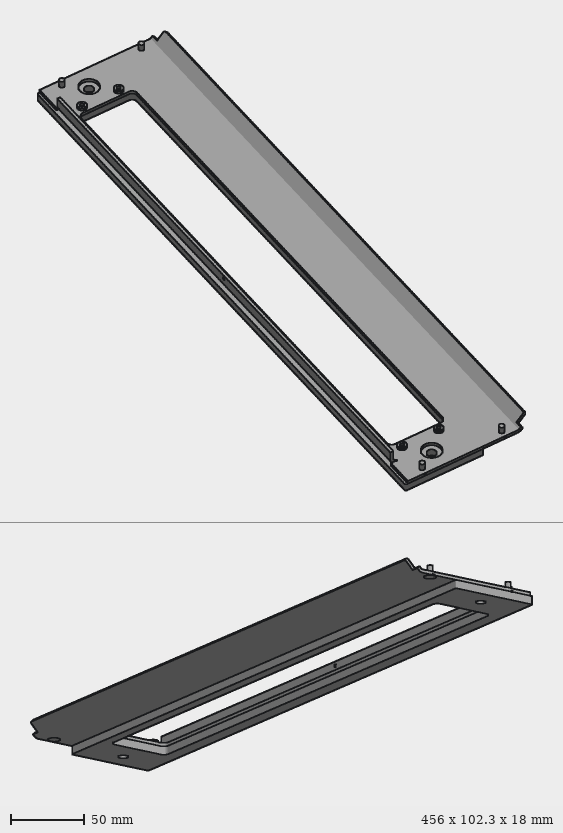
import cadquery as cq
import math

length = 456.0
bar_depth = 64.0
bar_height = 6.0
bar_corner_radius = 1.0

sheet = 2.5
bend_radius = 2.5
sheet_top = bar_height + sheet
bend_outer_radius = bend_radius + sheet
bend_z = sheet_top + bend_radius
bracket_front = 2.0
flange_back = bracket_front + sheet
flange_bend_y = bracket_front + bend_outer_radius
total_depth = 102.29

flange_length = 412.5
flange_top = 18.0
flange_relief = 0.75
flange_hole_diameter = 2.0
flange_hole_drop = 3.0

lip_angle = math.radians(45)
lip_reach = 12.3
lip_inset = 5.5
lip_corner_radius = 1.5
lip_full_width_reach = 3.5

lip_corner_y = total_depth - lip_reach * math.cos(lip_angle)

window_length = 386.0
window_front = 10.5
window_rear = 56.0
window_corner_radius = 4.0

mount_x = length / 2 - 16
mount_y = 32.0
mount_bracket_diameter = 15.0
mount_bar_diameter = 7.0

pin_diameter = 4.0
pin_head_diameter = 8.5
pin_head_height = 1.0
pin_top = 14.0
pin_x = length / 2 - 5
pin_front_y = 17.0
pin_rear_y = 82.0

bush_diameter = 7.0
bush_bore = 3.0
bush_height = 2.0
bush_chamfer = 0.3
bush_x = length / 2 - 30.0
bush_front_y = pin_front_y
bush_rear_y = 47.0

pin_points = [(sx * pin_x, y) for sx in (-1, 1) for y in (pin_front_y, pin_rear_y)]
bush_points = [(sx * bush_x, y) for sx in (-1, 1) for y in (bush_front_y, bush_rear_y)]
mount_points = [(-mount_x, mount_y), (mount_x, mount_y)]


def upright_block(x_size, y_from, y_to, z_from, z_to):
    """Box centred on X between the given Y and Z limits."""
    return cq.Workplane("XY").box(
        x_size, y_to - y_from, z_to - z_from, centered=(True, False, False)
    ).translate((0, y_from, z_from))


def drills(points, diameter):
    """Vertical cylinders that pass through bar and bracket."""
    return cq.Workplane("XY").pushPoints(points).circle(diameter / 2).extrude(flange_top)


def window():
    block = upright_block(window_length, window_front, window_rear, 0, flange_top)
    return block.edges("|Z").fillet(window_corner_radius)


def make_bar():
    bar = upright_block(length, 0, bar_depth, 0, bar_height)
    bar = bar.edges("|Z").fillet(bar_corner_radius)
    return bar.cut(window()).cut(drills(mount_points, mount_bar_diameter))


def bend_point(centre_y, radius, turn):
    """YZ point on a bend arc, turned from straight down towards +Y."""
    return (centre_y + radius * math.sin(turn), bend_z - radius * math.cos(turn))


def bracket_profile():
    """Side outline of the bent sheet in the YZ plane, extruded over the full length."""
    lip_y = lip_corner_y - bend_outer_radius * math.tan(lip_angle / 2)
    lip_tip = (total_depth, bar_height + lip_reach * math.sin(lip_angle))
    lip_tip_inner = (
        lip_tip[0] - sheet * math.sin(lip_angle),
        lip_tip[1] + sheet * math.cos(lip_angle),
    )
    flange_mid_bend = -math.radians(45)
    return (
        cq.Workplane("YZ")
        .moveTo(bracket_front, flange_top)
        .lineTo(bracket_front, bend_z)
        .threePointArc(
            bend_point(flange_bend_y, bend_outer_radius, flange_mid_bend),
            (flange_bend_y, bar_height),
        )
        .lineTo(lip_y, bar_height)
        .threePointArc(
            bend_point(lip_y, bend_outer_radius, lip_angle / 2),
            bend_point(lip_y, bend_outer_radius, lip_angle),
        )
        .lineTo(*lip_tip)
        .lineTo(*lip_tip_inner)
        .lineTo(*bend_point(lip_y, bend_radius, lip_angle))
        .threePointArc(bend_point(lip_y, bend_radius, lip_angle / 2), (lip_y, sheet_top))
        .lineTo(flange_bend_y, sheet_top)
        .threePointArc(
            bend_point(flange_bend_y, bend_radius, flange_mid_bend),
            (flange_back, bend_z),
        )
        .lineTo(flange_back, flange_top)
        .close()
        .extrude(length / 2, both=True)
    )


def make_bracket():
    bracket = bracket_profile()
    for side in (-1, 1):
        bracket = bracket.cut(flange_end_cut(side)).union(flat_end(side))
        bracket = bracket.cut(lip_end_cut(side))
    bracket = bracket.cut(window()).cut(drills(mount_points, mount_bracket_diameter))
    for point in pin_points:
        bracket = bracket.cut(make_pin(point))
    return bracket.cut(flange_hole())


def flange_end_cut(side):
    """Removes the flange and its bend beyond one end of the flange."""
    cut_length = (length - flange_length) / 2
    block = upright_block(cut_length, bracket_front, flange_bend_y, bar_height, flange_top)
    return block.translate((side * (length - cut_length) / 2, 0, 0))


def flat_end(side):
    """Flat front edge beside the flange, parted from it by a narrow relief slit."""
    flat_length = (length - flange_length) / 2 - flange_relief
    block = upright_block(flat_length, bracket_front, flange_bend_y, bar_height, sheet_top)
    return block.translate((side * (length - flat_length) / 2, 0, 0))


def lip_end_cut(side):
    """Notch square to the lip that narrows it, with the lip's free corner rounded."""
    edge_x = side * (length / 2 - lip_inset)
    round_end_x = edge_x - side * lip_corner_radius
    lip_plane = cq.Plane(
        origin=(0, lip_corner_y, bar_height),
        xDir=(1, 0, 0),
        normal=(0, -math.sin(lip_angle), math.cos(lip_angle)),
    )
    return (
        cq.Workplane(lip_plane)
        .moveTo(side * length / 2, lip_full_width_reach)
        .lineTo(edge_x, lip_full_width_reach)
        .lineTo(edge_x, lip_reach - lip_corner_radius)
        .radiusArc((round_end_x, lip_reach), -side * lip_corner_radius)
        .lineTo(side * length / 2, lip_reach)
        .close()
        .extrude(sheet)
    )


def flange_hole():
    return (
        cq.Workplane("XZ", origin=(0, flange_back, 0))
        .center(0, flange_top - flange_hole_drop)
        .circle(flange_hole_diameter / 2)
        .extrude(sheet)
    )


def make_pin(point):
    """Plain pin with a thin round head level with the underside of the bracket."""
    return (
        cq.Workplane("XY", origin=(*point, bar_height))
        .circle(pin_diameter / 2)
        .extrude(pin_top - bar_height)
        .faces("<Z")
        .workplane(invert=True)
        .circle(pin_head_diameter / 2)
        .extrude(pin_head_height)
    )


def make_bush(point):
    """Low ring with a chamfered rim."""
    return (
        cq.Workplane("XY", origin=(*point, sheet_top))
        .circle(bush_diameter / 2)
        .extrude(bush_height)
        .faces(">Z")
        .chamfer(bush_chamfer)
        .faces(">Z")
        .workplane()
        .hole(bush_bore)
    )


bar = make_bar()
bracket = make_bracket()
pins = [make_pin(point) for point in pin_points]
bushes = [make_bush(point) for point in bush_points]

result = cq.Compound.makeCompound(
    [bar.val(), bracket.val()] + [body.val() for body in pins + bushes]
)